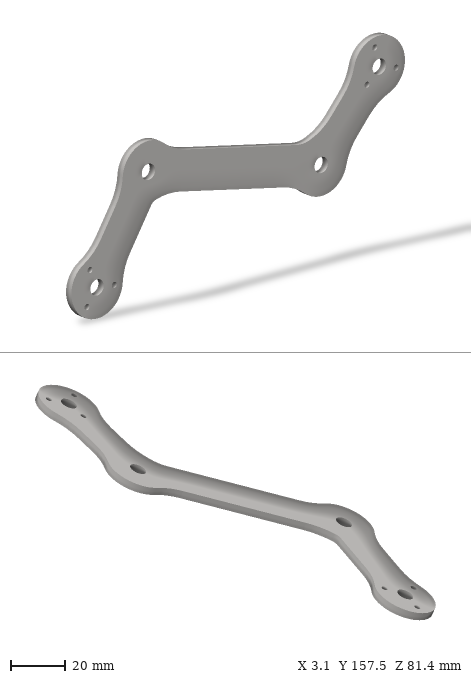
import cadquery as cq
import math

length = 157.5
height = 81.4
thickness = 3.1

pad_radius = 12.1
link_half_width = 8.0
blend_radius = 24.0
upper_elbow_blend_radius = 11.7
lower_elbow_blend_radius = 4.0

pivot_diameter = 6.3
screw_diameter = 2.4
screw_circle_radius = 8.2
screws_per_end = 3
upper_screw_angle = 105.0
lower_screw_angle = 114.2

end_y = length / 2 - pad_radius
end_z = height / 2 - pad_radius
upper_end = (end_y, end_z)
upper_elbow = (39.2, -3.8)
lower_elbow = (-42.4, 11.2)
lower_end = (-end_y, -end_z)
pads = [upper_end, upper_elbow, lower_elbow, lower_end]


def polar(center, radius, angle):
    """Point at a radius and an angle in radians from a centre."""
    return (center[0] + radius * math.cos(angle), center[1] + radius * math.sin(angle))


def blend(pad, heading, side, radius):
    """Blend from a pad to one edge of the link leaving it at the given heading.

    side is +1 for the edge left of the heading and -1 for the right one.
    Returns the angle on the pad, then the pad, middle and link points of the arc.
    """
    normal = heading + side * math.pi / 2
    swing = math.acos((link_half_width + radius) / (pad_radius + radius))
    pad_angle = normal - side * swing
    center = polar(pad, pad_radius + radius, pad_angle)
    pad_point = polar(pad, pad_radius, pad_angle)
    middle = polar(center, radius, pad_angle + math.pi + side * swing / 2)
    link_point = polar(center, radius, normal + math.pi)
    return pad_angle, pad_point, middle, link_point


def plate_outline():
    """Closed clockwise outline, following the left edge of each link out and back."""
    edges = [
        (upper_end, upper_elbow, blend_radius, blend_radius),
        (upper_elbow, lower_elbow, blend_radius, blend_radius),
        (lower_elbow, lower_end, lower_elbow_blend_radius, blend_radius),
        (lower_end, lower_elbow, blend_radius, blend_radius),
        (lower_elbow, upper_elbow, blend_radius, upper_elbow_blend_radius),
        (upper_elbow, upper_end, blend_radius, blend_radius),
    ]
    sides = []
    for start, end, start_radius, end_radius in edges:
        heading = math.atan2(end[1] - start[1], end[0] - start[0])
        leaving = blend(start, heading, 1, start_radius)
        arriving = blend(end, heading + math.pi, -1, end_radius)
        sides.append((end, leaving, arriving))

    outline = cq.Workplane("YZ").moveTo(*sides[0][1][1])
    for index, (pad, leaving, arriving) in enumerate(sides):
        next_leaving = sides[(index + 1) % len(sides)][1]
        _, _, leaving_middle, link_start = leaving
        arrival_angle, arrival_point, arriving_middle, link_end = arriving
        departure_angle, departure_point, _, _ = next_leaving
        turn = (arrival_angle - departure_angle) % (2 * math.pi)
        pad_middle = polar(pad, pad_radius, arrival_angle - turn / 2)
        outline = (
            outline.threePointArc(leaving_middle, link_start)
            .lineTo(*link_end)
            .threePointArc(arriving_middle, arrival_point)
            .threePointArc(pad_middle, departure_point)
        )
    return outline.close()


def screw_points(center, first_angle):
    """Evenly spaced screw positions around an end pad."""
    step = 360 / screws_per_end
    angles = [math.radians(first_angle + step * index) for index in range(screws_per_end)]
    return [polar(center, screw_circle_radius, angle) for angle in angles]


def drill(points, diameter):
    """Cutters for through holes at the given points."""
    return cq.Workplane("YZ").pushPoints(points).circle(diameter / 2).extrude(thickness / 2, both=True)


plate = plate_outline().extrude(thickness / 2, both=True)
screws = screw_points(upper_end, upper_screw_angle) + screw_points(lower_end, lower_screw_angle)
result = plate.cut(drill(pads, pivot_diameter)).cut(drill(screws, screw_diameter))